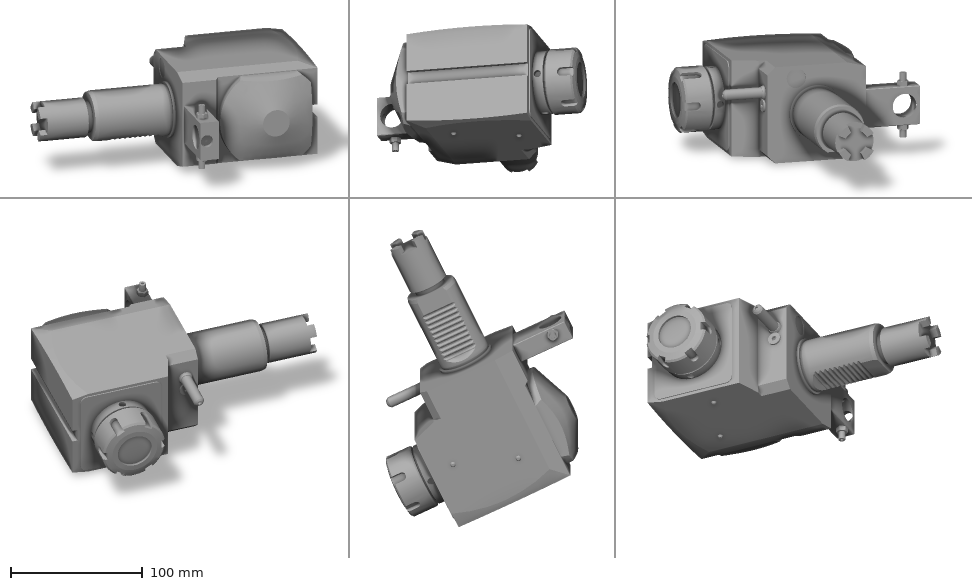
import math

import cadquery as cq


HALF_HEIGHT = 37.5
FRONT_X = -58.3
SEAT_LEFT_X = -39.0
REAR_X = 35.7
SEAT_RIGHT_X = 38.9
BACK_Y = 107.95
TAPER_START_Y = 30.8
TAPER_END_Y = 24.1
STEP_TOP_Y = 28.9
STEP_BOTTOM_Y = 26.6
SEAT_CHAMFER = 6.0
SLOPE_START_X = 24.1
SLOPE_ANGLE = 15.0

CROWN_RADIUS = 600.0
CROWN_X = -16.5
CROWN_START_Y = 103.3
CROWN_ANGLE = 10.5
CROWN_LENGTH = 600.0

BACK_SLOT_DEPTH = 4.0
BACK_SLOT_WIDTH = 10.2

SPINDLE_Y = 69.3
COVER_X = -59.1
COVER_Y_RANGE = (36.6, 101.5)
COVER_HALF_HEIGHT = 35.1
COVER_CORNER = 5.0
NUT_FACE_X = -91.1
NUT_RADIUS = 25.0
NUT_BACK_X = -68.4
NUT_BACK_CHAMFER = 1.0
NUT_LAND_RADIUS = 18.0
NUT_SHOULDER_X = -88.6
NUT_CONE_END = (-89.9, 23.6)
COLLET_BORE_RADIUS = 13.7
COLLET_BORE_DEPTH = 2.0
GROOVE_END_X = -66.8
GROOVE_RADIUS = 20.5
COLLAR_RADIUS = 24.1
WRENCH_SLOT_WIDTH = 6.6
WRENCH_SLOT_ENDS_X = (-78.4, -74.2, -74.2, -78.4, -78.4, -78.4)
WRENCH_SLOT_FLOOR = 21.6
COLLAR_HOLES = 4
COLLAR_HOLE_X = -62.8
COLLAR_HOLE_DIAMETER = 5.6
COLLAR_HOLE_DEPTH = 4.0

CAP_RADIUS = 40.4
CAP_CONE_X = 41.7
CAP_END_X = 55.6
CAP_END_RADIUS = 10.5
CAP_BACK_Y = 100.8
CAP_SLOPE_DROP = 0.7

SHANK_RADIUS = 20.0
SHANK_END_Y = -63.0
SHANK_CHAMFER_LENGTH = 3.0
SHANK_CHAMFER_HEIGHT = 0.8
FLANGE_RADIUS = 21.6
FLANGE_END_Y = -1.9
RELIEF_RADIUS = 19.5
RELIEF_END_Y = -3.8
RACK_Z = -16.0
RUN_IN_START_Y = -4.2
RUN_IN_END_Y = -9.3
RACK_PITCH = 4.0
RACK_NOTCHES = 10
RACK_FIRST_Y = -11.8
RACK_DEPTH = 1.3
RACK_MOUTH_HALF_WIDTH = 1.7
RACK_ROOT_HALF_WIDTH = 0.4

NECK_RADIUS = 12.1
DRIVER_START_Y = -66.7
DRIVER_END_Y = -99.5
DRIVER_RADIUS = 15.2
DRIVER_CHAMFER = 0.5
TOOTH_END_Y = -104.9
TOOTH_INNER = 9.1
TOOTH_HALF_ANGLE = 19.0
TEETH = 4

PORT_Y = 10.0
STUD_Z = 16.0
STUD_RADIUS = 4.2
STUD_TIP_X = -71.5
STUD_TIP_RADIUS = 1.9
STUD_TIP_EDGE = (-70.6, 3.1)
STUD_SHOULDER_X = -69.2
STUD_SOCKET = 2.4
STUD_SOCKET_DEPTH = 2.0
STUD_COLLAR_THICKNESS = 2.3
STUD_COLLAR_TOP_RADIUS = 4.6
STUD_COLLAR_BASE_RADIUS = 5.5
PLUG_Z = 6.0
PLUG_RADIUS = 5.0
PLUG_HEIGHT = 1.5
PLUG_SOCKET = 3.4

RECESS_X = -16.2
RECESS_Z = 27.8
RECESS_RADIUS = 7.6
RECESS_DEPTH = 0.5
FOOT_POSITIONS = ((-40.4, 60.7), (6.5, 77.8))
FOOT_HEIGHT = 1.6
FOOT_BASE_RADIUS = 2.1
FOOT_TIP_RADIUS = 1.1

ARM_END_X = 82.0
ARM_Y_RANGE = (1.3, 16.2)
ARM_HALF_HEIGHT = 15.1
ARM_CHAMFER = 0.5
ARM_BORE_X = 70.0
ARM_BORE_RADIUS = 9.4
END_HOLE_RADIUS = 4.8
END_HOLE_Y = 6.5
SCREW_Y = 6.0
SCREW_RADIUS = 2.6
SCREW_TIP_Z = 25.2
SCREW_SOCKET = 2.2
SCREW_SOCKET_DEPTH = 1.5
LOCK_NUT_FLATS = 7.8
SCREW_BORE_RADIUS = 2.1
SCREW_BORE_END_Z = 10.5
LOCK_NUT_TOP_Z = 18.9
LOCK_NUT_CHAMFER = 0.5

HEX = 6
OVERLAP = 2.0


def box(x_range, y_range, z_range):
    """Axis-aligned block between the given limits."""
    size = [abs(r[1] - r[0]) for r in (x_range, y_range, z_range)]
    low = [min(r) for r in (x_range, y_range, z_range)]
    return cq.Workplane("XY").box(*size, centered=False).translate(tuple(low))


def turned_about_x(profile, y, z):
    """Revolve (x, radius) points about the line parallel to X through (y, z)."""
    closed = [(profile[0][0], 0), *profile, (profile[-1][0], 0)]
    solid = cq.Workplane("XY").polyline(closed).close().revolve(360, (0, 0, 0), (1, 0, 0))
    return solid.translate((0, y, z))


def turned_about_y(profile):
    """Revolve (radius, y) points about the Y axis."""
    closed = [(0, profile[0][1]), *profile, (0, profile[-1][1])]
    return cq.Workplane("XY").polyline(closed).close().revolve(360, (0, 0, 0), (0, 1, 0))


def hex_prism(plane, origin, across_flats, length):
    """Hexagonal prism along the plane's normal."""
    across_corners = 2 * across_flats / math.sqrt(3)
    return cq.Workplane(plane, origin=origin).polygon(HEX, across_corners).extrude(length)


def both_sides(solid):
    """The solid together with its mirror image across the mid-plane Z = 0."""
    return solid.union(solid.mirror("XY"))


def side_slope_cutter(lowered_by=0):
    """Wedges above and below the two sloped rear faces."""
    start_z = HALF_HEIGHT - lowered_by
    run = ARM_END_X - SLOPE_START_X
    drop = run * math.tan(math.radians(SLOPE_ANGLE))
    corners = [
        (SLOPE_START_X, start_z),
        (ARM_END_X, start_z - drop),
        (ARM_END_X, 2 * HALF_HEIGHT),
        (SLOPE_START_X, 2 * HALF_HEIGHT),
    ]
    wedge = cq.Workplane("XZ").polyline(corners).close().extrude(-2 * BACK_Y)
    return both_sides(wedge)


def crown():
    """Large tilted cylinder whose upper surface forms the back bevel."""
    tilt = math.radians(CROWN_ANGLE)
    barrel = cq.Solid.makeCylinder(
        CROWN_RADIUS,
        CROWN_LENGTH,
        cq.Vector(
            CROWN_X,
            CROWN_START_Y - CROWN_RADIUS * math.sin(tilt) - CROWN_LENGTH / 2 * math.cos(tilt),
            HALF_HEIGHT - CROWN_RADIUS * math.cos(tilt) + CROWN_LENGTH / 2 * math.sin(tilt),
        ),
        cq.Vector(0, math.cos(tilt), -math.sin(tilt)),
    )
    return cq.Workplane(obj=barrel)


def seat_chamfer_cutter():
    """Prisms removing the long edges of the seat side face."""
    corners = [
        (SEAT_LEFT_X, HALF_HEIGHT - SEAT_CHAMFER),
        (SEAT_LEFT_X + SEAT_CHAMFER, HALF_HEIGHT),
        (SEAT_LEFT_X, HALF_HEIGHT),
    ]
    prism = cq.Workplane("XZ").polyline(corners).close().extrude(-TAPER_END_Y)
    return both_sides(prism)


def make_housing():
    outline = [
        (FRONT_X, BACK_Y),
        (REAR_X, BACK_Y),
        (REAR_X, STEP_TOP_Y),
        (SEAT_RIGHT_X, STEP_BOTTOM_Y),
        (SEAT_RIGHT_X, 0),
        (SEAT_LEFT_X, 0),
        (SEAT_LEFT_X, TAPER_END_Y),
        (FRONT_X, TAPER_START_Y),
    ]
    body = cq.Workplane("XY").polyline(outline).close().extrude(HALF_HEIGHT, both=True)
    upper_crown = crown()
    body = body.intersect(upper_crown).intersect(upper_crown.mirror("XY"))
    body = body.cut(seat_chamfer_cutter())

    half_slot = BACK_SLOT_WIDTH / 2
    slot = box((FRONT_X, REAR_X), (BACK_Y - BACK_SLOT_DEPTH, BACK_Y), (-half_slot, half_slot))
    recess = (
        cq.Workplane("XZ", origin=(RECESS_X, 0, RECESS_Z))
        .circle(RECESS_RADIUS)
        .extrude(-RECESS_DEPTH)
    )
    return body.cut(side_slope_cutter()).cut(slot).cut(recess)


def make_cap():
    """Conical cap on the rear of the housing, flattened at the back."""
    profile = [
        (REAR_X - OVERLAP, CAP_RADIUS),
        (CAP_CONE_X, CAP_RADIUS),
        (CAP_END_X, CAP_END_RADIUS),
    ]
    cap = turned_about_x(profile, SPINDLE_Y, 0)
    keep = box((0, ARM_END_X), (0, CAP_BACK_Y), (-CAP_RADIUS, CAP_RADIUS))
    return cap.intersect(keep).cut(side_slope_cutter(CAP_SLOPE_DROP))


def make_cover():
    z_range = (-COVER_HALF_HEIGHT, COVER_HALF_HEIGHT)
    plate = box((COVER_X, FRONT_X + OVERLAP), COVER_Y_RANGE, z_range)
    return plate.edges("|X").fillet(COVER_CORNER)


def wrench_slot(end_x):
    """Round-ended slot cutter in the top of the nut, running in from its face."""
    half_width = WRENCH_SLOT_WIDTH / 2
    return (
        cq.Workplane("XY", origin=(0, 0, WRENCH_SLOT_FLOOR))
        .moveTo(NUT_FACE_X, -half_width)
        .lineTo(end_x - half_width, -half_width)
        .threePointArc((end_x, 0), (end_x - half_width, half_width))
        .lineTo(NUT_FACE_X, half_width)
        .close()
        .extrude(NUT_RADIUS - WRENCH_SLOT_FLOOR + OVERLAP)
    )


def make_spindle():
    """Collet nut, groove and collar with wrench slots and collar holes."""
    profile = [
        (NUT_FACE_X, NUT_LAND_RADIUS),
        NUT_CONE_END,
        (NUT_SHOULDER_X, NUT_RADIUS),
        (NUT_BACK_X - NUT_BACK_CHAMFER, NUT_RADIUS),
        (NUT_BACK_X, NUT_RADIUS - NUT_BACK_CHAMFER),
        (NUT_BACK_X, GROOVE_RADIUS),
        (GROOVE_END_X, GROOVE_RADIUS),
        (GROOVE_END_X, COLLAR_RADIUS),
        (FRONT_X + OVERLAP, COLLAR_RADIUS),
    ]
    spindle = turned_about_x(profile, 0, 0)
    bore = cq.Workplane("YZ", origin=(NUT_FACE_X, 0, 0)).circle(COLLET_BORE_RADIUS)
    spindle = spindle.cut(bore.extrude(COLLET_BORE_DEPTH))

    for i, end_x in enumerate(WRENCH_SLOT_ENDS_X):
        slot = wrench_slot(end_x)
        angle = i * 360 / len(WRENCH_SLOT_ENDS_X) - 90
        spindle = spindle.cut(slot.rotate((0, 0, 0), (1, 0, 0), angle))

    hole = (
        cq.Workplane("XY", origin=(COLLAR_HOLE_X, 0, COLLAR_RADIUS - COLLAR_HOLE_DEPTH))
        .circle(COLLAR_HOLE_DIAMETER / 2)
        .extrude(COLLAR_HOLE_DEPTH + OVERLAP)
    )
    for i in range(COLLAR_HOLES):
        spindle = spindle.cut(hole.rotate((0, 0, 0), (1, 0, 0), i * 360 / COLLAR_HOLES))
    return spindle.translate((0, SPINDLE_Y, 0))


def rack_cutter():
    """Flat under the shank with a sloped run-in and a row of rack notches."""
    flat = [
        (RUN_IN_START_Y, -FLANGE_RADIUS),
        (RUN_IN_END_Y, RACK_Z),
        (SHANK_END_Y, RACK_Z),
        (SHANK_END_Y, -FLANGE_RADIUS),
    ]
    cutter = cq.Workplane("YZ").polyline(flat).close().extrude(FLANGE_RADIUS, both=True)
    for i in range(RACK_NOTCHES):
        y = RACK_FIRST_Y - i * RACK_PITCH
        notch = [
            (y - RACK_MOUTH_HALF_WIDTH, RACK_Z),
            (y - RACK_ROOT_HALF_WIDTH, RACK_Z + RACK_DEPTH),
            (y + RACK_ROOT_HALF_WIDTH, RACK_Z + RACK_DEPTH),
            (y + RACK_MOUTH_HALF_WIDTH, RACK_Z),
        ]
        prism = cq.Workplane("YZ").polyline(notch).close().extrude(FLANGE_RADIUS, both=True)
        cutter = cutter.union(prism)
    return cutter


def make_shank():
    profile = [
        (FLANGE_RADIUS, OVERLAP),
        (FLANGE_RADIUS, FLANGE_END_Y),
        (RELIEF_RADIUS, FLANGE_END_Y),
        (SHANK_RADIUS, RELIEF_END_Y),
        (SHANK_RADIUS, SHANK_END_Y + SHANK_CHAMFER_LENGTH),
        (SHANK_RADIUS - SHANK_CHAMFER_HEIGHT, SHANK_END_Y),
    ]
    return turned_about_y(profile).cut(rack_cutter())


def make_driver():
    """Coupling shaft with claw teeth on its end."""
    profile = [
        (NECK_RADIUS, SHANK_END_Y + OVERLAP),
        (NECK_RADIUS, DRIVER_START_Y),
        (DRIVER_RADIUS - DRIVER_CHAMFER, DRIVER_START_Y),
        (DRIVER_RADIUS, DRIVER_START_Y - DRIVER_CHAMFER),
        (DRIVER_RADIUS, DRIVER_END_Y),
    ]
    driver = turned_about_y(profile)
    envelope = turned_about_y([(DRIVER_RADIUS, DRIVER_END_Y + OVERLAP), (DRIVER_RADIUS, TOOTH_END_Y)])

    flare = math.tan(math.radians(TOOTH_HALF_ANGLE))
    sector = [
        (TOOTH_INNER, -TOOTH_INNER * flare),
        (DRIVER_RADIUS, -DRIVER_RADIUS * flare),
        (DRIVER_RADIUS, DRIVER_RADIUS * flare),
        (TOOTH_INNER, TOOTH_INNER * flare),
    ]
    tooth = (
        cq.Workplane("XZ", origin=(0, DRIVER_END_Y + OVERLAP, 0))
        .polyline(sector)
        .close()
        .extrude(DRIVER_END_Y + OVERLAP - TOOTH_END_Y)
        .intersect(envelope)
    )
    for i in range(TEETH):
        angle = 45 + i * 360 / TEETH
        driver = driver.union(tooth.rotate((0, 0, 0), (0, 1, 0), angle))
    return driver


def make_coolant_stud():
    """Round-tipped stud with a tapered collar, standing on the seat side face."""
    profile = [
        (STUD_TIP_X, STUD_TIP_RADIUS),
        STUD_TIP_EDGE,
        (STUD_SHOULDER_X, STUD_RADIUS),
        (SEAT_LEFT_X - STUD_COLLAR_THICKNESS, STUD_RADIUS),
        (SEAT_LEFT_X - STUD_COLLAR_THICKNESS, STUD_COLLAR_TOP_RADIUS),
        (SEAT_LEFT_X, STUD_COLLAR_BASE_RADIUS),
        (SEAT_LEFT_X + OVERLAP, STUD_COLLAR_BASE_RADIUS),
    ]
    stud = turned_about_x(profile, PORT_Y, STUD_Z)
    tip = (STUD_TIP_X, PORT_Y, STUD_Z)
    return stud.cut(hex_prism("YZ", tip, STUD_SOCKET, STUD_SOCKET_DEPTH))


def make_plug():
    """Plug with a hexagon socket below the coolant stud."""
    centre = (SEAT_LEFT_X - PLUG_HEIGHT, PORT_Y, PLUG_Z)
    plug = cq.Workplane("YZ", origin=centre).circle(PLUG_RADIUS).extrude(PLUG_HEIGHT + OVERLAP)
    return plug.cut(hex_prism("YZ", centre, PLUG_SOCKET, PLUG_HEIGHT))


def make_foot(x, y):
    """Small tapered plug under the housing."""
    foot = cq.Solid.makeCone(
        FOOT_BASE_RADIUS,
        FOOT_TIP_RADIUS,
        FOOT_HEIGHT,
        cq.Vector(x, y, -HALF_HEIGHT),
        cq.Vector(0, 0, -1),
    )
    return cq.Workplane(obj=foot)


def make_stop_screw():
    """Set screw with a hexagon socket and a chamfered lock nut, on top of the arm."""
    foot = (ARM_BORE_X, SCREW_Y, ARM_HALF_HEIGHT - OVERLAP)
    nut_height = LOCK_NUT_TOP_Z - foot[2]
    screw = cq.Workplane("XY", origin=foot).circle(SCREW_RADIUS).extrude(SCREW_TIP_Z - foot[2])
    nut_blank = (
        cq.Workplane("XY", origin=foot)
        .circle(LOCK_NUT_FLATS / math.sqrt(3))
        .extrude(nut_height)
        .faces(">Z")
        .chamfer(LOCK_NUT_CHAMFER)
    )
    nut = hex_prism("XY", foot, LOCK_NUT_FLATS, nut_height).intersect(nut_blank)
    socket_floor = (ARM_BORE_X, SCREW_Y, SCREW_TIP_Z - SCREW_SOCKET_DEPTH)
    return screw.union(nut).cut(hex_prism("XY", socket_floor, SCREW_SOCKET, SCREW_SOCKET_DEPTH))


def make_arm():
    """Bored stop arm with an opposed pair of set screws."""
    arm = box((REAR_X, ARM_END_X), ARM_Y_RANGE, (-ARM_HALF_HEIGHT, ARM_HALF_HEIGHT))
    arm = arm.edges("|X").chamfer(ARM_CHAMFER)
    arm = arm.union(both_sides(make_stop_screw()))

    bore = cq.Workplane("XZ", origin=(ARM_BORE_X, 0, 0)).circle(ARM_BORE_RADIUS)
    end_hole = cq.Workplane("YZ", origin=(ARM_BORE_X, END_HOLE_Y, 0)).circle(END_HOLE_RADIUS)
    screw_bore = cq.Workplane("XY", origin=(ARM_BORE_X, SCREW_Y, 0)).circle(SCREW_BORE_RADIUS)
    return (
        arm.cut(bore.extrude(-ARM_Y_RANGE[1]))
        .cut(end_hole.extrude(ARM_END_X - ARM_BORE_X))
        .cut(screw_bore.extrude(SCREW_BORE_END_Z, both=True))
    )


result = make_housing()
attachments = [
    make_cap(),
    make_cover(),
    make_spindle(),
    make_shank(),
    make_driver(),
    make_coolant_stud(),
    make_plug(),
    make_arm(),
]
attachments += [make_foot(x, y) for x, y in FOOT_POSITIONS]
for piece in attachments:
    result = result.union(piece)